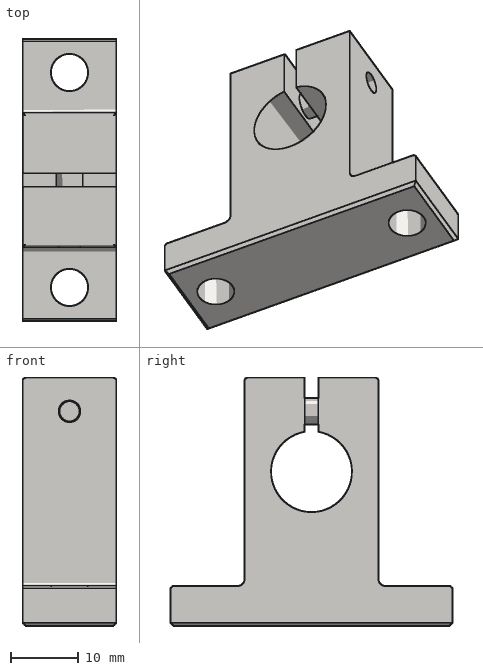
import cadquery as cq

width = 14.0
base_length = 42
base_thickness = 6.0
base_end_chamfer = 0.353

height = 37.0
block_length = 20.0
root_radius = 1.0
top_round = 0.45
bottom_chamfer = 0.5

bore_diameter = 12.0
bore_height = 23.0
slot_width = 2.0

screw_diameter = 4.0
screw_hole_diameter = 3.25
screw_tip_diameter = 3.0
screw_tip_depth = 5.0
screw_depth_below_top = 5.0
screw_height = height - screw_depth_below_top

bolt_hole_diameter = 5.5
bolt_spacing = 32.0


def make_body():
    """Base flange and upright block with rounded and chamfered edges."""
    base = cq.Workplane("XY").box(width, base_length, base_thickness, centered=(True, True, False))
    block = cq.Workplane("XY").box(width, block_length, height, centered=(True, True, False))
    body = base.union(block)

    half_block = block_length / 2
    for side in (-1, 1):
        root_edge = cq.selectors.NearestToPointSelector((0, side * half_block, base_thickness))
        body = body.edges(root_edge).fillet(root_radius)
        end_edge = cq.selectors.NearestToPointSelector((0, side * base_length / 2, base_thickness))
        body = body.edges(end_edge).chamfer(base_end_chamfer)

    body = body.faces(">Z").edges().fillet(top_round)
    return body.faces("<Z").edges().chamfer(bottom_chamfer)


def cut_bore_and_slot(body):
    """Shaft bore along X, opened to the top by a slot between the two jaws."""
    bore = (
        cq.Workplane("YZ")
        .center(0, bore_height)
        .circle(bore_diameter / 2)
        .extrude(width / 2, both=True)
    )
    slot = (
        cq.Workplane("XY", origin=(0, 0, bore_height))
        .rect(width, slot_width)
        .extrude(height - bore_height)
    )
    return body.cut(bore).cut(slot)


def cut_bolt_holes(body):
    """Vertical through holes, one in each end of the base."""
    holes = (
        cq.Workplane("XY")
        .pushPoints([(0, -bolt_spacing / 2), (0, bolt_spacing / 2)])
        .circle(bolt_hole_diameter / 2)
        .extrude(base_thickness)
    )
    return body.cut(holes)


def add_clamp_screw(body):
    """Tapped hole in the -Y jaw, and a chamfered screw that crosses the slot and ends inside it."""
    jaw_face = -block_length / 2
    tip_chamfer = (screw_diameter - screw_tip_diameter) / 2
    screw_hole = (
        cq.Workplane("XZ", origin=(0, jaw_face, screw_height))
        .circle(screw_hole_diameter / 2)
        .extrude(-(screw_tip_depth + tip_chamfer))
    )
    screw = (
        cq.Workplane("XZ", origin=(0, slot_width / 2, screw_height))
        .circle(screw_diameter / 2)
        .extrude(slot_width / 2 - jaw_face - screw_tip_depth)
        .faces("<Y")
        .chamfer(tip_chamfer)
    )
    return body.cut(screw_hole).union(screw)


result = add_clamp_screw(cut_bolt_holes(cut_bore_and_slot(make_body())))